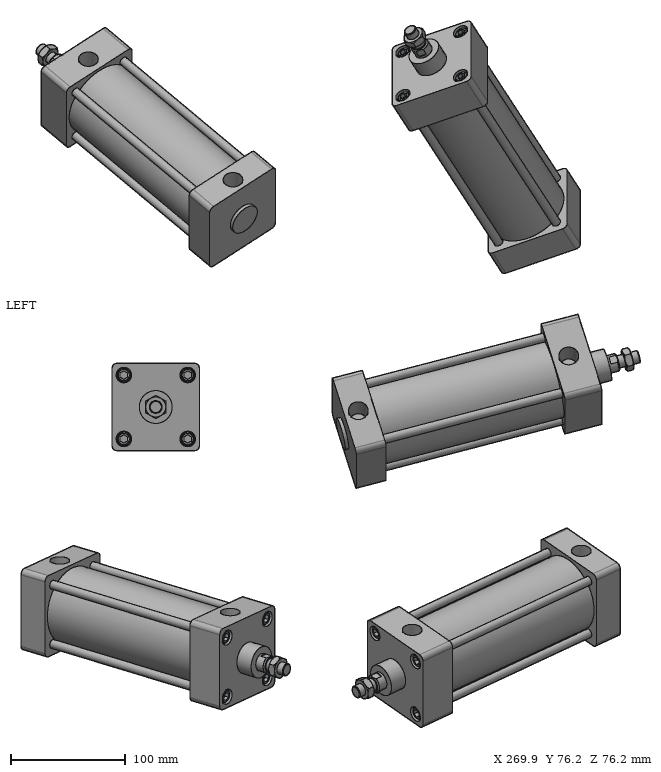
import cadquery as cq
import math


def corner_diameter(width_across_flats):
    """Diameter of the circle through the corners of a regular hexagon."""
    return width_across_flats / math.cos(math.pi / 6)


shoulder_x = 19.05
boss_x = 28.575
front_cap_x = 44.45
front_cap_length = 33.34
rear_cap_length = 26.99
rear_boss_length = 3.175
overall_length = 269.88
front_cap_end_x = front_cap_x + front_cap_length
rear_cap_end_x = overall_length - rear_boss_length
rear_cap_x = rear_cap_end_x - rear_cap_length

cap_width = 76.2
cap_corner_radius = 4.5
boss_diameter = 28.575
port_mouth_diameter = 17.1
port_floor_diameter = 15.28
port_depth = 22.2
port_inset = 14.29
front_port_x = front_cap_end_x - port_inset
rear_port_x = rear_cap_x + port_inset

barrel_diameter = 69.85

tie_rod_spacing = 55.56
tie_rod_diameter = 7.94
head_diameter = 11.76
head_face_diameter = 9.74
head_chamfer = (head_diameter - head_face_diameter) / 2
head_height = 7.94
head_recess = 1.19
counterbore_diameter = 13.46
counterbore_depth = head_recess + head_height
socket_width = 6.35
socket_depth = 4.0
rear_thread_depth = 19.05

rod_diameter = 15.875
rod_shoulder_face_diameter = 13.46
rod_shoulder_chamfer = (rod_diameter - rod_shoulder_face_diameter) / 2
thread_diameter = 11.11
thread_tip_diameter = 9.74
thread_tip_chamfer = (thread_diameter - thread_tip_diameter) / 2
wrench_flat_width = 14.29
wrench_flat_length = 7.14

nut_x = 6.75
nut_thickness = 6.75
nut_width = 17.46
nut_corner_diameter = corner_diameter(nut_width)
nut_chamfer_angle = math.radians(40)

tie_rod_positions = [
    (y * tie_rod_spacing / 2, z * tie_rod_spacing / 2) for y in (-1, 1) for z in (-1, 1)
]


def section_at(x):
    """Workplane across the cylinder axis at station x, with local axes along Y and Z."""
    return cq.Workplane("YZ", origin=(x, 0, 0))


def cylinder_along_x(x, diameter, length):
    return section_at(x).circle(diameter / 2).extrude(length)


def hexagon_along_x(x, width_across_flats, length):
    """Hexagonal bar with one pair of flats facing +Y and -Y."""
    bar = section_at(x).polygon(6, corner_diameter(width_across_flats)).extrude(length)
    return bar.rotate((0, 0, 0), (1, 0, 0), 30)


def cap_block(x, length):
    block = section_at(x).rect(cap_width, cap_width).extrude(length)
    return block.edges("|X").fillet(cap_corner_radius)


def cut_port(cap, x):
    """Cut a blind port that tapers inward from its mouth into the top of a cap."""
    port = (
        cq.Workplane("XY", origin=(x, 0, cap_width / 2))
        .circle(port_mouth_diameter / 2)
        .workplane(offset=-port_depth)
        .circle(port_floor_diameter / 2)
        .loft()
    )
    return cap.cut(port)


def make_front_cap():
    cap = cap_block(front_cap_x, front_cap_length)
    cap = cap.union(cylinder_along_x(boss_x, boss_diameter, front_cap_x - boss_x))
    cap = cap.cut(cylinder_along_x(boss_x, rod_diameter, front_cap_end_x - boss_x))
    holes = section_at(front_cap_x).pushPoints(tie_rod_positions)
    cap = cap.cut(holes.circle(tie_rod_diameter / 2).extrude(front_cap_length))
    cap = cap.cut(holes.circle(counterbore_diameter / 2).extrude(counterbore_depth))
    return cut_port(cap, front_port_x)


def make_rear_cap():
    cap = cap_block(rear_cap_x, rear_cap_length)
    cap = cap.union(cylinder_along_x(rear_cap_end_x, boss_diameter, rear_boss_length))
    holes = section_at(rear_cap_x).pushPoints(tie_rod_positions)
    cap = cap.cut(holes.circle(tie_rod_diameter / 2).extrude(rear_thread_depth))
    return cut_port(cap, rear_port_x)


def make_barrel():
    return cylinder_along_x(front_cap_end_x, barrel_diameter, rear_cap_x - front_cap_end_x)


def make_tie_rod(y, z):
    """Tie rod with a chamfered, hex-socket head that sits in the front cap's counterbore."""
    head_x = front_cap_x + head_recess
    shank_x = front_cap_x + counterbore_depth
    shank_length = rear_cap_x + rear_thread_depth - shank_x
    head = cylinder_along_x(head_x, head_diameter, head_height).faces("<X").chamfer(head_chamfer)
    socket = hexagon_along_x(head_x, socket_width, socket_depth)
    shank = cylinder_along_x(shank_x, tie_rod_diameter, shank_length)
    return head.cut(socket).union(shank).translate((0, y, z))


def make_piston_rod():
    """Stepped rod with a threaded nose and wrench flats on its top and bottom behind the shoulder."""
    thread = cylinder_along_x(0, thread_diameter, shoulder_x)
    thread = thread.faces("<X").chamfer(thread_tip_chamfer)
    shank = cylinder_along_x(shoulder_x, rod_diameter, front_cap_end_x - shoulder_x)
    shank = shank.faces("<X").chamfer(rod_shoulder_chamfer)
    across_flats = section_at(shoulder_x).rect(rod_diameter, wrench_flat_width).extrude(wrench_flat_length)
    full_round_x = shoulder_x + wrench_flat_length
    full_round = cylinder_along_x(full_round_x, rod_diameter, front_cap_end_x - full_round_x)
    shank = shank.intersect(across_flats.union(full_round))
    return thread.union(shank)


def make_nut():
    """Hex nut with a pair of flats facing +Y and -Y and both ends chamfered at the corners."""
    hexagon = hexagon_along_x(nut_x, nut_width, nut_thickness)
    face_radius = nut_width / 2
    corner_radius = nut_corner_diameter / 2
    chamfer_length = (corner_radius - face_radius) * math.tan(nut_chamfer_angle)
    nut_end_x = nut_x + nut_thickness
    corner_envelope = (
        cq.Workplane("XY")
        .moveTo(nut_x, 0)
        .lineTo(nut_x, face_radius)
        .lineTo(nut_x + chamfer_length, corner_radius)
        .lineTo(nut_end_x - chamfer_length, corner_radius)
        .lineTo(nut_end_x, face_radius)
        .lineTo(nut_end_x, 0)
        .close()
        .revolve(360, (0, 0, 0), (1, 0, 0))
    )
    bore = cylinder_along_x(nut_x, thread_diameter, nut_thickness)
    return hexagon.intersect(corner_envelope).cut(bore)


front_cap = make_front_cap()
rear_cap = make_rear_cap()
barrel = make_barrel()
tie_rods = [make_tie_rod(y, z) for y, z in tie_rod_positions]
piston_rod = make_piston_rod()
nut = make_nut()

result = cq.Compound.makeCompound(
    [
        front_cap.val(),
        rear_cap.val(),
        barrel.val(),
        *[tie_rod.val() for tie_rod in tie_rods],
        piston_rod.val(),
        nut.val(),
    ]
)